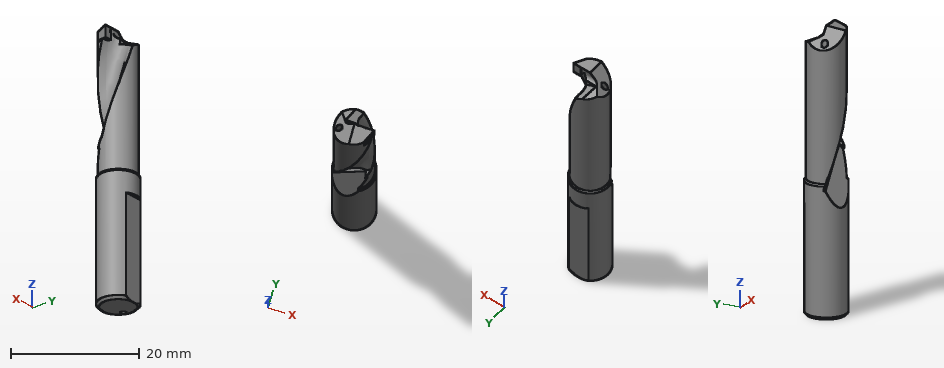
import cadquery as cq
import math


total_length = 47.0
shank_diameter = 7.0
cut_diameter = 6.46
shank_radius = shank_diameter / 2
cut_radius = cut_diameter / 2
shank_length = 21.8
shoulder_height = 0.35
end_chamfer = 0.5
clearance = 2.0
reach = shank_diameter + clearance

flat_offset = 2.95
flat_length = 18.1

flute_lead = 57.0
flute_start = 17.0
flute_end = total_length + clearance
flute_corner_radius = 2.4
flute_corner_x = 1.9
heel_tilt = 18.0

runout_low_point = 18.1
runout_direction = -112.0
runout_slope = 70.0
flute_end_face_angle = 47.5
flute_end_face_point = (-0.5, -1.2, 24.1)
flute_end_face_lean = 26.0
heel_wall_point = (2.25, 0, 27.3)
heel_wall_angle = 62.0

tip_relief_angle = 8.6
tip_bevel_angle = 43.0
tip_bevel_side_angle = 12.0
tip_bevel_start_x = 0.03
gash_depth = 1.25
gash_slope = 25.5
gash_corner_radius = 0.6
heel_relief_start_y = 0.6
heel_relief_slope = 28.0
heel_relief_edge_x = -1.8
heel_relief_edge_turn = 17.0

tooth_length = 2.1
tooth_edge_x = 3.3
tooth_back_x = 2.35

coolant_diameter = 1.0
coolant_x = -2.24
coolant_y = -0.73


def half_space(origin, normal):
    """Large block on the side of a plane that its normal points to."""
    size = 4 * total_length
    plane = cq.Plane(origin=origin, normal=normal)
    return cq.Workplane(plane).rect(size, size).extrude(size)


def make_body():
    return (
        cq.Workplane("XZ")
        .polyline([
            (0, 0),
            (shank_radius - end_chamfer, 0),
            (shank_radius, end_chamfer),
            (shank_radius, shank_length),
            (cut_radius, shank_length + shoulder_height),
            (cut_radius, total_length),
            (0, total_length),
        ])
        .close()
        .revolve(360, (0, 0, 0), (0, 1, 0))
    )


def make_clamping_flat():
    return (
        cq.Workplane("XY")
        .center(0, flat_offset + reach / 2)
        .rect(2 * reach, reach)
        .extrude(flat_length)
    )


def make_helix():
    """Twisted flute whose cutting face lies on +X at the tip."""
    heel_x = flute_corner_x - flute_corner_radius
    heel_shift = (reach - flute_corner_radius) * math.tan(math.radians(heel_tilt))
    arc_middle = flute_corner_radius * math.sin(math.radians(45))
    degrees_per_mm = 360 / flute_lead
    start_angle = -(total_length - flute_start) * degrees_per_mm
    length = flute_end - flute_start
    profile = (
        cq.Workplane("XY")
        .moveTo(reach, 0)
        .lineTo(flute_corner_x, 0)
        .threePointArc(
            (flute_corner_x - arc_middle, flute_corner_radius - arc_middle),
            (heel_x, flute_corner_radius),
        )
        .lineTo(heel_x - heel_shift, reach)
        .lineTo(reach, reach)
        .close()
    )
    flute = profile.twistExtrude(length, length * degrees_per_mm)
    return flute.rotate((0, 0, 0), (0, 0, 1), start_angle).translate((0, 0, flute_start))


def make_flute():
    """Two cutters: the helix above the end face and the sloped flat below it."""
    face_angle = math.radians(flute_end_face_angle)
    face_lean = math.tan(math.radians(flute_end_face_lean))
    up = (-math.sin(face_angle), -face_lean, math.cos(face_angle))
    down = tuple(-component for component in up)
    helix = make_helix().intersect(half_space(flute_end_face_point, up))

    turn = math.radians(runout_direction)
    slope = math.radians(runout_slope)
    low_point = (
        shank_radius * math.cos(turn),
        shank_radius * math.sin(turn),
        runout_low_point,
    )
    outward = (
        math.sin(slope) * math.cos(turn),
        math.sin(slope) * math.sin(turn),
        math.cos(slope),
    )
    wall_angle = math.radians(heel_wall_angle)
    inward = (-math.sin(wall_angle), 0, -math.cos(wall_angle))
    runout = (
        half_space(low_point, outward)
        .intersect(half_space(flute_end_face_point, down))
        .intersect(half_space(heel_wall_point, inward))
    )
    return helix, runout


def make_tip_relief():
    relief = math.tan(math.radians(tip_relief_angle))
    return half_space((0, 0, total_length), (0, -relief, 1))


def make_tip_bevel():
    side = math.tan(math.radians(tip_bevel_side_angle))
    bevel = math.tan(math.radians(tip_bevel_angle))
    return half_space((tip_bevel_start_x, 0, total_length), (-bevel, -side, 1))


def make_gash():
    """Two cutters: the notch at the end cutting edge and the relief of its heel."""
    bottom = total_length - gash_depth
    drop = reach * math.tan(math.radians(gash_slope))
    gash = (
        cq.Workplane("YZ")
        .polyline([
            (0, bottom),
            (reach, bottom - drop),
            (reach, total_length + clearance),
            (0, total_length + clearance),
        ])
        .close()
        .extrude(reach, both=True)
        .edges(cq.selectors.NearestToPointSelector((0, 0, bottom)))
        .fillet(gash_corner_radius)
    )
    turn = math.radians(heel_relief_edge_turn)
    fall_y = math.tan(math.radians(gash_slope))
    fall_across = math.tan(math.radians(heel_relief_slope))
    heel_normal = (
        fall_across * math.cos(turn),
        fall_y - fall_across * math.sin(turn),
        1,
    )
    heel = half_space((heel_relief_edge_x, 0, bottom), heel_normal)
    behind_edge = half_space((0, heel_relief_start_y, 0), (0, 1, 0))
    return gash, heel.intersect(behind_edge)


def tooth_back_y():
    """Where the ground flat runs out into the round body."""
    return -math.sqrt(cut_radius**2 - tooth_back_x**2)


def make_tooth():
    return (
        cq.Workplane("XY", origin=(0, 0, total_length - tooth_length))
        .polyline([(flute_corner_x, 0), (tooth_edge_x, 0), (tooth_back_x, tooth_back_y())])
        .close()
        .extrude(tooth_length)
    )


def make_tooth_flat():
    edge = (tooth_edge_x, 0, total_length)
    outward = (-tooth_back_y(), tooth_back_x - tooth_edge_x, 0)
    above_ledge = half_space((0, 0, total_length - tooth_length), (0, 0, 1))
    return half_space(edge, outward).intersect(above_ledge)


def make_coolant_hole():
    return (
        cq.Workplane("XY")
        .center(coolant_x, coolant_y)
        .circle(coolant_diameter / 2)
        .extrude(total_length)
    )


result = make_body().cut(make_clamping_flat())
helix_cutter, runout_cutter = make_flute()
result = result.cut(helix_cutter)
result = result.cut(runout_cutter)
result = result.union(make_tooth())
gash_cutter, heel_cutter = make_gash()
result = result.cut(gash_cutter)
result = result.cut(heel_cutter)
result = result.cut(make_tip_relief())
result = result.cut(make_tip_bevel())
result = result.cut(make_tooth_flat())
result = result.cut(make_coolant_hole())